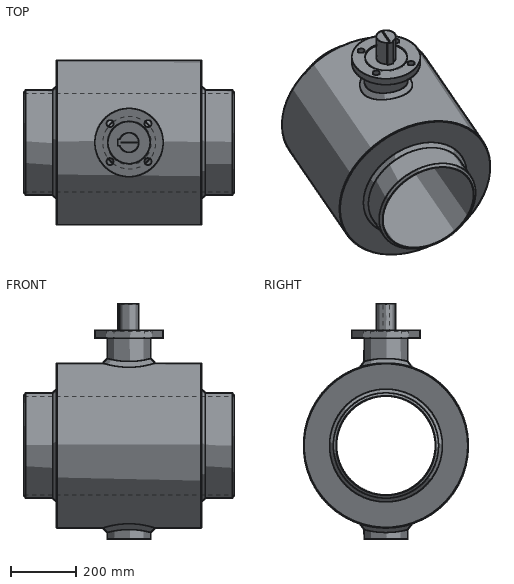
import cadquery as cq

overall_length = 648.0
pipe_diameter = 324.0
bore_diameter = 304.0
pipe_end_bevel_length = 6.5
pipe_end_bevel_depth = 9.0
body_diameter = 508.0
body_length = 447.0
body_edge_chamfer = 2.0
pipe_weld = 11.5

overall_height = 725.0
stem_top = 436.5
neck_bottom = stem_top - overall_height
neck_diameter = 135.0
neck_edge_chamfer = 1.5
neck_weld = 14.0
flange_top = 354.5
flange_thickness = 24.0
flange_diameter = 210.0
recess_diameter = 130.0
recess_depth = 3.5
bolt_hole_diameter = 22.0
bolt_spacing = 117.0
stem_diameter = 60.0
key_width = 19.5
key_reach = 34.0
groove_width = 2.0
groove_depth = 2.0
groove_start = -24.0


def cylinder_z(diameter, bottom, top):
    """Cylinder on the Z axis between two heights."""
    return cq.Workplane("XY").workplane(offset=bottom).circle(diameter / 2).extrude(top - bottom)


def cylinder_x(diameter, length):
    """Cylinder on the X axis, centred on the origin."""
    return cq.Workplane("YZ").workplane(offset=-length / 2).circle(diameter / 2).extrude(length)


def make_body():
    """Body with the upper and lower necks and their sloped weld seams."""
    body = cylinder_x(body_diameter, body_length)
    body = body.faces("<X or >X").chamfer(body_edge_chamfer)
    neck = cylinder_z(neck_diameter, neck_bottom, flange_top - flange_thickness)
    neck = neck.faces("<Z").edges().chamfer(neck_edge_chamfer)
    body = body.union(neck)
    half_seam_width = neck_diameter / 2 + neck_edge_chamfer
    half_seam_height = body_diameter / 2 + neck_edge_chamfer
    seams = cq.selectors.BoxSelector(
        (-half_seam_width, -half_seam_width, -half_seam_height),
        (half_seam_width, half_seam_width, half_seam_height),
        boundingbox=True,
    )
    return body.edges(seams).chamfer(neck_weld)


def make_pipe():
    """Revolved pipe profile with bevelled ends and a conical weld beside each body face."""
    pipe_radius = pipe_diameter / 2
    half_length = overall_length / 2
    half_body = body_length / 2
    bevel_start = half_length - pipe_end_bevel_length
    bevel_radius = pipe_radius - pipe_end_bevel_depth
    half_profile = (
        cq.Workplane("XY")
        .polyline([
            (0, 0),
            (half_length, 0),
            (half_length, bevel_radius),
            (bevel_start, pipe_radius),
            (half_body + pipe_weld, pipe_radius),
            (half_body, pipe_radius + pipe_weld),
            (0, pipe_radius + pipe_weld),
        ])
        .close()
    )
    half_pipe = half_profile.revolve(360, (0, 0, 0), (1, 0, 0))
    return half_pipe.union(half_pipe.mirror("YZ"))


def make_flange():
    """Drilled flange with a shallow round recess in its top."""
    flange_bottom = flange_top - flange_thickness
    flange = cylinder_z(flange_diameter, flange_bottom, flange_top)
    recess = cylinder_z(recess_diameter, flange_top - recess_depth, flange_top)
    bolt_holes = (
        cq.Workplane("XY")
        .workplane(offset=flange_bottom)
        .rect(bolt_spacing, bolt_spacing, forConstruction=True)
        .vertices()
        .circle(bolt_hole_diameter / 2)
        .extrude(flange_thickness)
    )
    return flange.cut(recess).cut(bolt_holes)


def make_stem():
    """Keyed stem with a marking groove open towards +X in its top."""
    bottom = flange_top - recess_depth
    stem = cylinder_z(stem_diameter, bottom, stem_top)
    key = cq.Workplane("XY").box(
        key_reach, key_width, stem_top - bottom, centered=(False, True, False)
    ).translate((-key_reach, 0, bottom))
    groove = cq.Workplane("XY").box(
        stem_diameter, groove_width, groove_depth, centered=(False, True, False)
    ).translate((groove_start, 0, stem_top - groove_depth))
    return stem.union(key).cut(groove)


bore = cylinder_x(bore_diameter, overall_length)
result = make_body().union(make_pipe()).union(make_flange()).union(make_stem()).cut(bore)